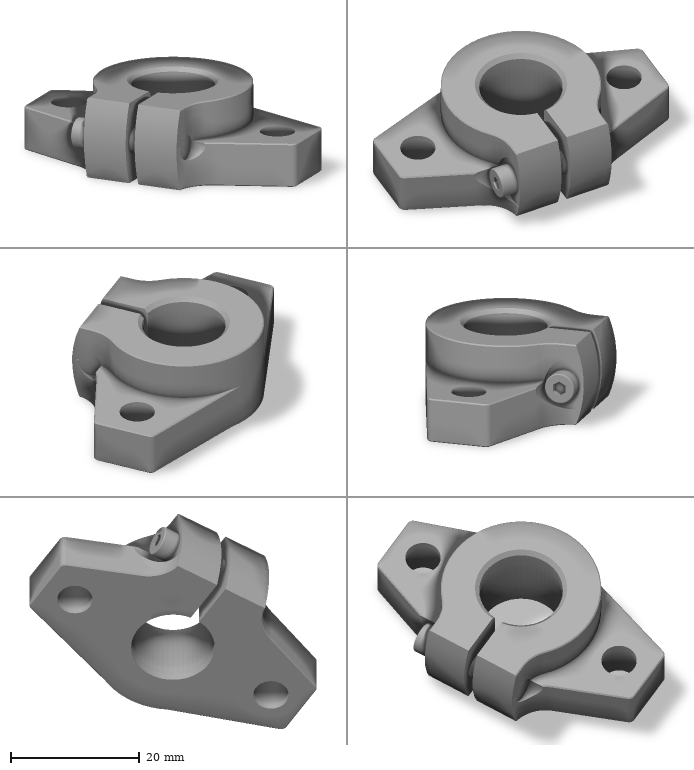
import cadquery as cq
import math

length = 47.0
plate_height = 7.0
end_half_width = 5.0
front_taper = 21.8
corner_radius = 1.0
mount_hole_diameter = 5.5
mount_hole_spacing = 36.0

height = 13.0
ring_radius = 12.5
neck_half_width = 8.0
blend_radius = 6.0
nose_y = -15.5
nose_edge_y = -14.2
bore_diameter = 13.0
bore_chamfer = 0.65
slit_width = 1.55
edge_chamfer = 0.2
margin = 2.35

screw_y = -12.35
screw_z = height / 2
shank_diameter = 4.0
head_diameter = 4.8
head_height = 2.65
head_edge_radius = 0.2
socket_corner_diameter = 2.35
socket_depth = 1.18
seat_radius = 4.0
seat_y = -13.25


def polar(center, radius, angle):
    """Point at an angle in degrees on a circle."""
    turn = math.radians(angle)
    return (center[0] + radius * math.cos(turn), center[1] + radius * math.sin(turn))


def mirrored(point):
    return (-point[0], point[1])


def x_cylinder(radius, y, z, x_start, x_end):
    return cq.Workplane("YZ", origin=(x_start, y, z)).circle(radius).extrude(x_end - x_start)


def make_plate():
    """Flange: tangent to the ring at the back, blended into the neck at the front."""
    half_length = length / 2
    corner_distance = math.hypot(half_length, end_half_width)
    corner_angle = math.degrees(math.atan2(end_half_width, half_length))
    tangent_angle = corner_angle + math.degrees(math.acos(ring_radius / corner_distance))
    back_tangent = polar((0, 0), ring_radius, tangent_angle)

    taper = math.radians(front_taper)
    center_x = neck_half_width + blend_radius
    flank_y = -end_half_width - (half_length - center_x) * math.tan(taper)
    center = (center_x, flank_y - blend_radius / math.cos(taper))
    blend_start = polar(center, blend_radius, 90 + front_taper)
    blend_middle = polar(center, blend_radius, 135 + front_taper / 2)
    blend_end = polar(center, blend_radius, 180)

    outline = (
        cq.Workplane("XY")
        .moveTo(*back_tangent)
        .lineTo(half_length, end_half_width)
        .lineTo(half_length, -end_half_width)
        .lineTo(*blend_start)
        .threePointArc(blend_middle, blend_end)
        .lineTo(neck_half_width, nose_y - margin)
        .lineTo(-neck_half_width, nose_y - margin)
        .lineTo(*mirrored(blend_end))
        .threePointArc(mirrored(blend_middle), mirrored(blend_start))
        .lineTo(-half_length, -end_half_width)
        .lineTo(-half_length, end_half_width)
        .lineTo(*mirrored(back_tangent))
        .threePointArc((0, ring_radius), back_tangent)
        .close()
    )
    plate = outline.extrude(plate_height)
    plate = plate.edges("|Z and (<X or >X)").fillet(corner_radius)
    return plate.faces("<Z or >Z").edges().chamfer(edge_chamfer)


def make_ring():
    """Clamp ring with its neck, before boring and slitting."""
    center_x = neck_half_width + blend_radius
    center_distance = ring_radius + blend_radius
    center_angle = -math.degrees(math.acos(center_x / center_distance))
    center = polar((0, 0), center_distance, center_angle)
    blend_start = polar((0, 0), ring_radius, center_angle)
    blend_middle = polar(center, blend_radius, 180 + center_angle / 2)
    blend_end = polar(center, blend_radius, 180)

    outline = (
        cq.Workplane("XY")
        .moveTo(*blend_start)
        .threePointArc(blend_middle, blend_end)
        .lineTo(neck_half_width, nose_y - margin)
        .lineTo(-neck_half_width, nose_y - margin)
        .lineTo(*mirrored(blend_end))
        .threePointArc(mirrored(blend_middle), mirrored(blend_start))
        .threePointArc((0, ring_radius), blend_start)
        .close()
    )
    return outline.extrude(height).faces(">Z").edges().chamfer(edge_chamfer)


def make_nose_trim():
    """Profile along X that rounds the front of the neck."""
    return (
        cq.Workplane("YZ")
        .moveTo(ring_radius + margin, 0)
        .lineTo(nose_edge_y, 0)
        .threePointArc((nose_y, height / 2), (nose_edge_y, height))
        .lineTo(ring_radius + margin, height)
        .close()
        .extrude(length / 2 + margin, both=True)
    )


def make_bore():
    """Shaft bore, countersunk at the top."""
    bore = cq.Workplane("XY").circle(bore_diameter / 2).extrude(height)
    mouth = (
        cq.Workplane("XY", origin=(0, 0, height))
        .circle(bore_diameter / 2 + bore_chamfer)
        .workplane(offset=-bore_chamfer)
        .circle(bore_diameter / 2)
        .loft()
    )
    return bore.union(mouth)


def make_screw_seat():
    """Round recess beside the neck for the screw head, open toward the front."""
    round_end = x_cylinder(seat_radius, seat_y, screw_z, -length / 2, -neck_half_width)
    seat_depth = length / 2 - neck_half_width
    opening_length = seat_y - nose_y + margin
    opening = cq.Workplane("XY").box(seat_depth, opening_length, 2 * seat_radius, centered=(False, False, True))
    return round_end.union(opening.translate((-length / 2, nose_y - margin, screw_z)))


def make_housing():
    housing = make_plate().union(make_ring()).intersect(make_nose_trim())
    mount_holes = (
        cq.Workplane("XY")
        .pushPoints([(-mount_hole_spacing / 2, 0), (mount_hole_spacing / 2, 0)])
        .circle(mount_hole_diameter / 2)
        .extrude(plate_height)
    )
    slit_length = -nose_y + margin
    slit = cq.Workplane("XY").box(slit_width, slit_length, height, centered=(True, False, False))
    slit = slit.translate((0, -slit_length, 0))
    screw_hole = x_cylinder(shank_diameter / 2, screw_y, screw_z, -neck_half_width, length / 2)
    for cutter in (make_bore(), mount_holes, slit, make_screw_seat(), screw_hole):
        housing = housing.cut(cutter)
    return housing


def make_screw():
    """Socket head screw, its shank ending flush with the far side of the neck."""
    head_x = -neck_half_width - head_height
    head = x_cylinder(head_diameter / 2, screw_y, screw_z, head_x, -neck_half_width)
    head = head.faces("<X").edges().fillet(head_edge_radius)
    socket = (
        cq.Workplane("YZ", origin=(head_x, screw_y, screw_z))
        .transformed(rotate=(0, 0, 90))
        .polygon(6, socket_corner_diameter)
        .extrude(socket_depth)
    )
    shank = x_cylinder(shank_diameter / 2, screw_y, screw_z, -neck_half_width, neck_half_width)
    return head.union(shank).cut(socket)


housing = make_housing()
screw = make_screw()
result = cq.Compound.makeCompound([housing.val(), screw.val()])